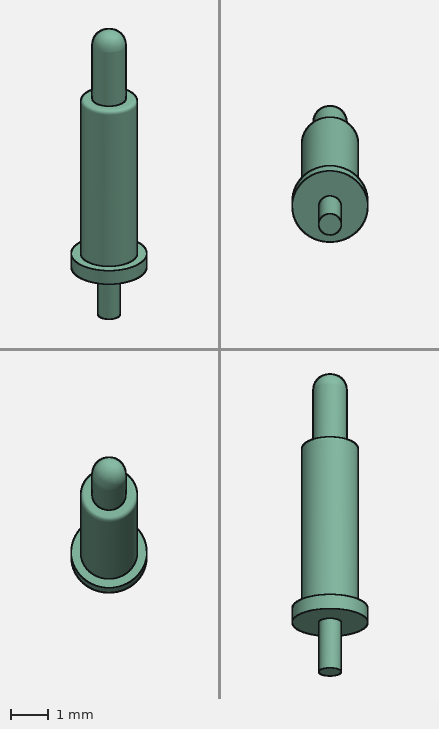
import cadquery as cq

total_height = 8.4
tail_diameter = 0.6
flange_diameter = 2.0
barrel_diameter = 1.5
plunger_diameter = 0.9

tail_height = 1.4
flange_height = 0.4
barrel_height = 4.595

barrel_rim_radius = 0.1
plunger_tip_radius = 0.4

flange_bottom = tail_height
barrel_bottom = flange_bottom + flange_height
plunger_bottom = barrel_bottom + barrel_height
plunger_height = total_height - plunger_bottom


def make_cylinder(diameter, height, bottom):
    """Upright cylinder on the Z axis, standing on the level 'bottom'."""
    return cq.Workplane("XY").workplane(offset=bottom).circle(diameter / 2).extrude(height)


def make_tail():
    """Solder tail below the flange."""
    return make_cylinder(tail_diameter, tail_height, 0)


def make_flange():
    """Flat disc between the tail and the barrel."""
    return make_cylinder(flange_diameter, flange_height, flange_bottom)


def make_barrel():
    """Long barrel with a rounded upper rim."""
    barrel = make_cylinder(barrel_diameter, barrel_height, barrel_bottom)
    return barrel.faces(">Z").edges().fillet(barrel_rim_radius)


def make_plunger():
    """Contact plunger standing on the barrel, with a domed tip."""
    plunger = make_cylinder(plunger_diameter, plunger_height, plunger_bottom)
    return plunger.faces(">Z").edges().fillet(plunger_tip_radius)


tail = make_tail()
flange = make_flange()
barrel = make_barrel()
plunger = make_plunger()

result = cq.Compound.makeCompound([tail.val(), flange.val(), barrel.val(), plunger.val()])